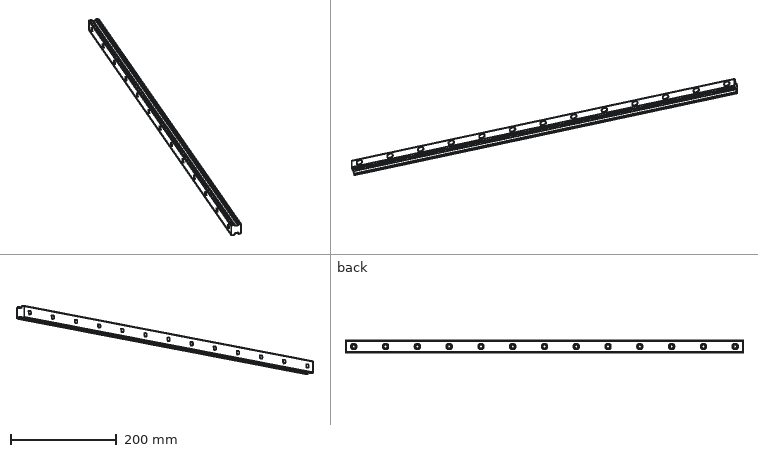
import cadquery as cq
RAIL_LENGTH = 750.0
RAIL_HEIGHT = 20.0
RAIL_WIDTH = 23.0

BASE_CHAMFER = 1.25
BASE_SIDE_END = 5.0
NECK_DEPTH = 3.0
NECK_START = 8.5
NECK_END = 13.5
HEAD_SIDE_START = 15.0
HEAD_SIDE_END = 17.5
HEAD_TOP_INSET = 2.0

RACEWAY_RADIUS = 4.0

HOLE_COUNT = 13
HOLE_PITCH = 60.0
HOLE_DIAMETER = 7.0
COUNTERBORE_DIAMETER = 11.0
COUNTERBORE_DEPTH = 9.0


def half_section(side):
    """Cross-section from Z = 0 to one side face; side is +1 (upper) or -1 (lower)."""
    side_face = side * RAIL_WIDTH / 2
    neck_face = side_face - side * NECK_DEPTH
    head_top = side_face - side * HEAD_TOP_INSET
    return (
        cq.Workplane("YZ")
        .lineTo(0, side_face - side * BASE_CHAMFER)
        .lineTo(BASE_CHAMFER, side_face)
        .lineTo(BASE_SIDE_END, side_face)
        .lineTo(NECK_START, neck_face)
        .lineTo(NECK_END, neck_face)
        .radiusArc((HEAD_SIDE_START, side_face), -side * RACEWAY_RADIUS)
        .lineTo(HEAD_SIDE_END, side_face)
        .radiusArc((RAIL_HEIGHT, head_top), -side * RACEWAY_RADIUS)
        .lineTo(RAIL_HEIGHT, 0)
        .close()
    )


def rail_body():
    """Both halves of the cross-section extruded along X."""
    upper = half_section(1).extrude(RAIL_LENGTH / 2, both=True)
    lower = half_section(-1).extrude(RAIL_LENGTH / 2, both=True)
    return upper.union(lower).clean()


def hole_row(diameter, start_y, end_y):
    """Cylinders along Y, evenly spaced along the middle of the rail."""
    return (
        cq.Workplane("XZ", origin=(0, start_y, 0))
        .rarray(HOLE_PITCH, 1, HOLE_COUNT, 1)
        .circle(diameter / 2)
        .extrude(start_y - end_y)
    )


through_holes = hole_row(HOLE_DIAMETER, 0, RAIL_HEIGHT)
counterbores = hole_row(COUNTERBORE_DIAMETER, RAIL_HEIGHT - COUNTERBORE_DEPTH, RAIL_HEIGHT)

result = rail_body().cut(through_holes).cut(counterbores)